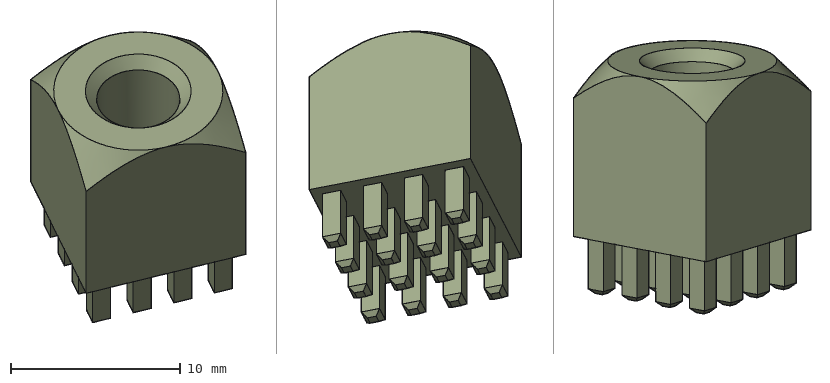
import cadquery as cq
import math

body_side = 10.0
total_height = 14.0
pin_length = 3.5
body_height = total_height - pin_length
corner_slope = 45.0

bore_diameter = 4.91
countersink_diameter = 6.25
bore_depth = 7.0
drill_tip_angle = 118.0

pins_per_side = 4
pin_row_span = 7.62
pin_pitch = pin_row_span / (pins_per_side - 1)
pin_width = 1.13
tip_chamfer = 0.3


def make_body():
    """Square block whose top corners are cut by a cone touching the four top edges."""
    block = cq.Workplane("XY").box(body_side, body_side, body_height, centered=(True, True, False))
    block = block.translate((0, 0, pin_length))
    top_radius = body_side / 2
    base_radius = top_radius + total_height / math.tan(math.radians(corner_slope))
    cone = (
        cq.Workplane("XZ")
        .polyline([(0, 0), (base_radius, 0), (top_radius, total_height), (0, total_height)])
        .close()
        .revolve(360, (0, 0, 0), (0, 1, 0))
    )
    return block.intersect(cone)


def make_socket():
    """Blind bore with a 45 degree countersink and a drill-point bottom."""
    bore_radius = bore_diameter / 2
    countersink_radius = countersink_diameter / 2
    countersink_depth = countersink_radius - bore_radius
    bore_floor = total_height - bore_depth
    drill_tip = bore_floor - bore_radius / math.tan(math.radians(drill_tip_angle / 2))
    profile = [
        (0, drill_tip),
        (bore_radius, bore_floor),
        (bore_radius, total_height - countersink_depth),
        (countersink_radius, total_height),
        (0, total_height),
    ]
    return cq.Workplane("XZ").polyline(profile).close().revolve(360, (0, 0, 0), (0, 1, 0))


def make_pin():
    """Square pin hanging below the block, with its tip edges chamfered."""
    pin = cq.Workplane("XY").rect(pin_width, pin_width).extrude(pin_length)
    return pin.faces("<Z").chamfer(tip_chamfer)


result = make_body().cut(make_socket())

pin = make_pin()
first_pin = -pin_row_span / 2
for column in range(pins_per_side):
    for row in range(pins_per_side):
        place = (first_pin + column * pin_pitch, first_pin + row * pin_pitch, 0)
        result = result.union(pin.translate(place))